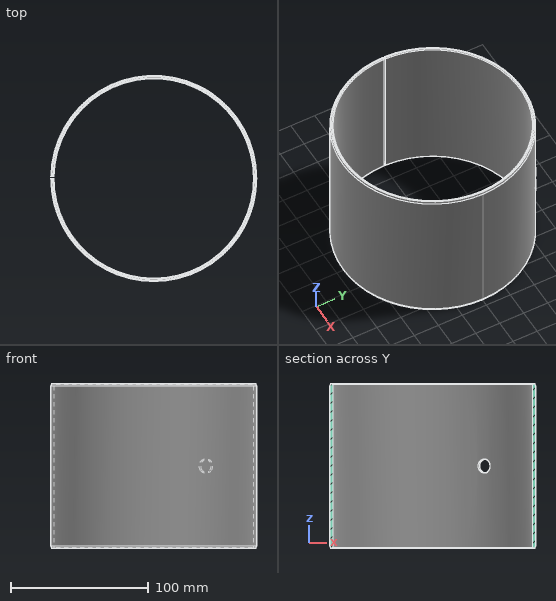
import cadquery as cq
import math

outer_diameter = 150.0
height = 120.0
wall = 2.4
outer_chamfer_height = 1.8
outer_chamfer_width = 0.8
inner_chamfer = 0.8
slit_width = 1.4
hole_diameter = 10.0
hole_angle = 59.0

outer_radius = outer_diameter / 2
inner_radius = outer_radius - wall


def make_sleeve():
    """Revolve the wall section, bevelled at all four rim edges, about Z."""
    outer_rim = outer_radius - outer_chamfer_width
    inner_rim = inner_radius + inner_chamfer
    section = [
        (inner_rim, 0),
        (outer_rim, 0),
        (outer_radius, outer_chamfer_height),
        (outer_radius, height - outer_chamfer_height),
        (outer_rim, height),
        (inner_rim, height),
        (inner_radius, height - inner_chamfer),
        (inner_radius, inner_chamfer),
    ]
    return cq.Workplane("XZ").polyline(section).close().revolve(360, (0, 0, 0), (0, 1, 0))


def make_slit():
    """Full-height cut through the -X wall, with one face on the XZ plane."""
    cutter = cq.Workplane("XY").box(outer_radius, slit_width, height, centered=False)
    return cutter.translate((-outer_radius, 0, 0))


def make_hole():
    """Radial drill through one side of the wall, at mid height."""
    angle = math.radians(hole_angle)
    outward = cq.Vector(math.cos(angle), math.sin(angle), 0)
    centre = cq.Vector(0, 0, height / 2)
    return cq.Solid.makeCylinder(hole_diameter / 2, outer_diameter, centre, outward)


result = make_sleeve().cut(make_slit()).cut(make_hole())